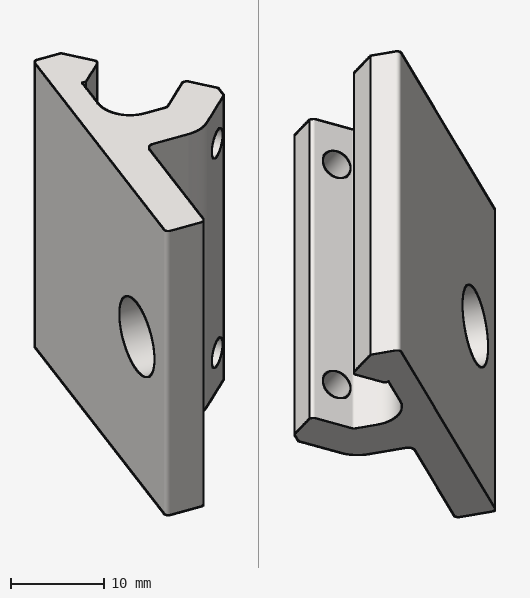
import cadquery as cq
import math

width = 34.0
height = 38.0
plate_thickness = 4.65
edge_radius = 0.5

lip_side_height = 3.3
lip_peak_x = 3.05
lip_peak_radius = 0.5
lip_foot_x = 5.78
channel_floor_y = 3.1

arm_inner_x = 13.6
arm_outer_x = 19.0
arm_top_y = 16.0
channel_radius = 3.8
hook_bend_y = 9.58
nose_x = 10.22
nose_flat = 0.5
arm_outer_corner_y = 11.2
outer_bend_radius = 3.8
inner_bend_radius = 0.38
nose_radius = 0.38
arm_root_radius = 0.75

plate_hole_diameter = 9.0
plate_hole_x = 26.55
screw_hole_diameter = 3.35
screw_hole_y = 11.02
screw_hole_end_distance = 5.0
screw_cut_length = 15.2

lip_peak = (lip_peak_x, lip_side_height + lip_peak_x)
lip_foot = (lip_foot_x, lip_peak[1] - (lip_foot_x - lip_peak_x))
hook_bend = (arm_inner_x, hook_bend_y)
nose_low = (nose_x, hook_bend_y + arm_inner_x - nose_x)
nose_high = (nose_x, nose_low[1] + nose_flat)
arm_top_left = (nose_x + arm_top_y - nose_high[1], arm_top_y)
arm_outer_corner = (arm_outer_x, arm_outer_corner_y)
arm_top_right = (arm_outer_x - (arm_top_y - arm_outer_corner_y), arm_top_y)
arm_root = (arm_outer_x, plate_thickness)
channel_corner = (arm_inner_x, channel_floor_y)


def extruded_profile():
    """Extrude the sharp-cornered cross-section along Z."""
    points = [
        (0, 0),
        (width, 0),
        (width, plate_thickness),
        arm_root,
        arm_outer_corner,
        arm_top_right,
        arm_top_left,
        nose_high,
        nose_low,
        hook_bend,
        channel_corner,
        (lip_foot_x, channel_floor_y),
        lip_foot,
        lip_peak,
        (0, lip_side_height),
    ]
    return cq.Workplane("XY").polyline(points).close().extrude(height)


def round_upright_edge(body, corner, radius):
    """Fillet the vertical edge that stands on the given XY corner."""
    selector = cq.selectors.NearestToPointSelector((corner[0], corner[1], height / 2))
    return body.edges("|Z").edges(selector).fillet(radius)


def plate_hole():
    """Cylinder through the plate along Y."""
    axis_start = cq.Vector(plate_hole_x, 0, height / 2)
    return cq.Solid.makeCylinder(plate_hole_diameter / 2, plate_thickness, axis_start, cq.Vector(0, 1, 0))


def screw_hole(z):
    """Cylinder through the hook, square to its sloping inner face."""
    face_x = arm_inner_x + hook_bend_y - screw_hole_y
    start_offset = screw_hole_diameter / 2 * math.sin(math.radians(45))
    axis_start = cq.Vector(face_x - start_offset, screw_hole_y - start_offset, z)
    return cq.Solid.makeCylinder(screw_hole_diameter / 2, screw_cut_length, axis_start, cq.Vector(1, 1, 0))


rounded_corners = [
    ((0, 0), edge_radius),
    ((width, 0), edge_radius),
    ((width, plate_thickness), edge_radius),
    (lip_peak, lip_peak_radius),
    (channel_corner, channel_radius),
    (hook_bend, inner_bend_radius),
    (nose_low, nose_radius),
    (arm_outer_corner, outer_bend_radius),
    (arm_root, arm_root_radius),
]

result = extruded_profile()
for corner, radius in rounded_corners:
    result = round_upright_edge(result, corner, radius)

result = result.cut(plate_hole())
for z in (screw_hole_end_distance, height - screw_hole_end_distance):
    result = result.cut(screw_hole(z))